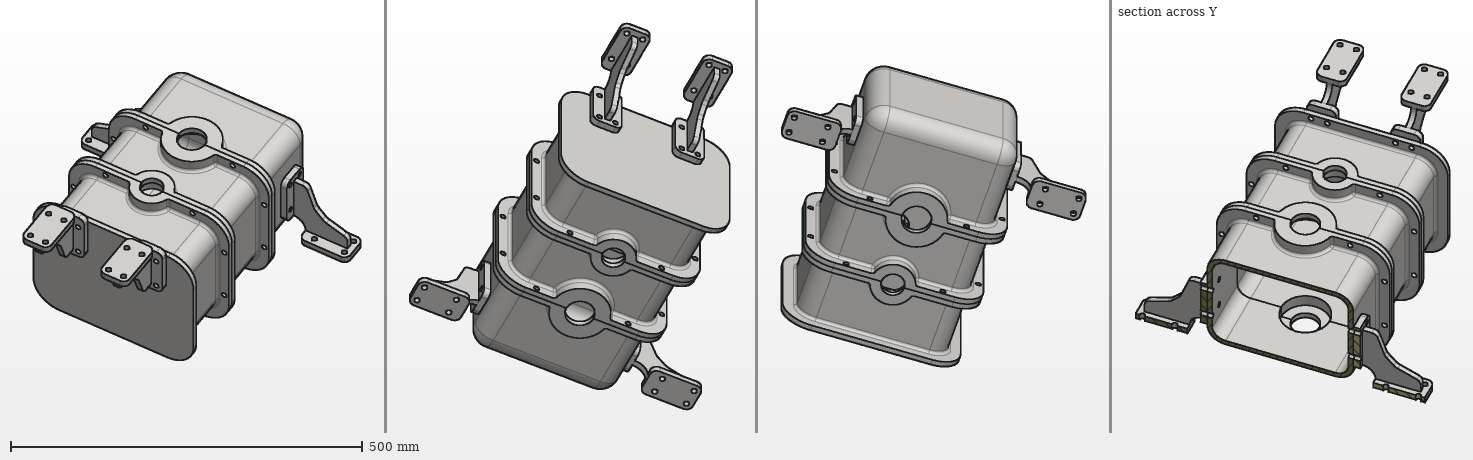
import cadquery as cq
import math


body_width = 226.0
body_height = 168.5
body_length = 354.0
body_radius = 28.5
wall = 8.5

flange_width = 266.5
flange_height = 208.0
flange_radius = 43.0
flange_thickness = 8.1
root_fillet = 4.5
bolt_diameter = 8.0
bolt_side_z = 43.5
bolt_top_x = 72.5
bolt_edge = 8.0

front_joint_y = 106.0
rear_joint_y = 215.8
front_boss_radius = 32.5
front_bore_diameter = 34.0
front_seat_diameter = 46.5
rear_boss_radius = 44.0
rear_bore_diameter = 42.5
rear_seat_diameter = 74.2
bore_lip = 9.5

plate_width = 45.5
plate_length = 80.0
plate_thickness = 10.0
plate_radius = 10.0
hole_edge = 10.0
hole_pitch = 50.0
rib_thickness = 9.0
rib_relief_radius = 20.0
rib_end_width = 21.0
rib_waist_near = 35.0
rib_waist_far = 50.5
rib_end_fillet = 9.7
rib_waist_fillet = 16.5
side_bracket_y = 296.0
front_bracket_x = 65.0
front_bracket_top = 146.0

hole_spread = plate_width - 2 * hole_edge
rib_reach = rib_relief_radius + plate_length - plate_thickness
plate_start = plate_thickness + rib_relief_radius
joints = [
    (front_joint_y, front_boss_radius, front_bore_diameter, front_seat_diameter),
    (rear_joint_y, rear_boss_radius, rear_bore_diameter, rear_seat_diameter),
]
selection_margin = 0.5


def rounded_block(width, height, radius, y_start, y_end):
    """Block along Y with its four long edges rounded."""
    length = y_end - y_start
    block = cq.Workplane("XY").box(width, length, height).edges("|Y").fillet(radius)
    return block.translate((0, (y_start + y_end) / 2, 0))


def vertical_cylinder(diameter, y, height):
    """Cylinder along Z, centred on Z = 0."""
    return cq.Workplane("XY").center(0, y).circle(diameter / 2).extrude(height / 2, both=True)


def round_roots(shell):
    """Fillet the inner corners where flanges and bosses rise from the shell."""
    half_x = body_width / 2 + selection_margin
    half_z = (body_height + flange_height) / 4 + selection_margin
    zones = [(flange_thickness, selection_margin)]
    zones += [(joint_y, boss_radius) for joint_y, boss_radius, _, _ in joints]
    roots = cq.Workplane("XY")
    for zone_y, reach in zones:
        zone = cq.selectors.BoxSelector(
            (-half_x, zone_y - reach, -half_z), (half_x, zone_y + reach, half_z)
        )
        roots = roots.add(shell.edges(zone))
    return shell.newObject(roots.vals()).fillet(root_fillet)


def housing_outside():
    """Outer form of all three housing sections joined together."""
    shell = rounded_block(body_width, body_height, body_radius, 0, body_length)
    shell = shell.faces(">Y").edges().fillet(body_radius)
    shell = shell.union(rounded_block(flange_width, flange_height, flange_radius, 0, flange_thickness))
    for joint_y, boss_radius, _, _ in joints:
        shell = shell.union(
            rounded_block(
                flange_width,
                flange_height,
                flange_radius,
                joint_y - flange_thickness,
                joint_y + flange_thickness,
            )
        )
        shell = shell.union(vertical_cylinder(2 * boss_radius, joint_y, flange_height))
    return round_roots(shell)


def housing_cavity():
    """Hollow inside of the housing, an even wall thickness in from the outside."""
    radius = body_radius - wall
    cavity = rounded_block(
        body_width - 2 * wall, body_height - 2 * wall, radius, flange_thickness, body_length - wall
    )
    return cavity.faces(">Y").edges().fillet(radius)


def flange_bolt_holes(joint_y):
    """Bolt holes along Y through the flange pair at one joint."""
    side_x = flange_width / 2 - bolt_edge
    top_z = flange_height / 2 - bolt_edge
    points = []
    for sx in (-1, 1):
        for sz in (-1, 1):
            points.append((sx * side_x, sz * bolt_side_z))
            points.append((sx * bolt_top_x, sz * top_z))
    holes = cq.Workplane("XZ", origin=(0, joint_y, 0)).pushPoints(points).circle(bolt_diameter / 2)
    return holes.extrude(2 * flange_thickness, both=True)


def plate_hole_points():
    """Hole centres of the foot plate, set toward its free end."""
    outer = plate_start + plate_length - hole_edge
    inner = outer - hole_pitch
    return [(along, side * hole_spread / 2) for along in (inner, outer) for side in (-1, 1)]


def foot_plate():
    """Drilled foot plate, lying flat with its underside on Z = 0."""
    plate = cq.Workplane("XY").box(plate_length, plate_width, plate_thickness, centered=(False, True, False))
    plate = plate.edges("|Z").fillet(plate_radius).translate((plate_start, 0, 0))
    holes = cq.Workplane("XY").pushPoints(plate_hole_points()).circle(bolt_diameter / 2)
    return plate.cut(holes.extrude(plate_thickness))


def bracket_rib():
    """Web between the two plates, symmetric about the diagonal of the bracket."""
    arc_middle = rib_relief_radius * math.sin(math.pi / 4)
    rib = (
        cq.Workplane("XZ", origin=(plate_thickness, 0, plate_thickness))
        .moveTo(0, rib_relief_radius)
        .threePointArc((arc_middle, arc_middle), (rib_relief_radius, 0))
        .lineTo(rib_reach, 0)
        .lineTo(rib_reach, rib_end_width)
        .lineTo(rib_waist_far, rib_waist_near)
        .lineTo(rib_waist_near, rib_waist_far)
        .lineTo(rib_end_width, rib_reach)
        .lineTo(0, rib_reach)
        .close()
        .extrude(rib_thickness / 2, both=True)
    )

    def corner_edges(near, far):
        """Pair of rib edges at one outline corner and its mirror across the diagonal."""
        picked = cq.Workplane("XY")
        for x, z in ((near, far), (far, near)):
            point = (x + plate_thickness, 0, z + plate_thickness)
            picked = picked.add(rib.edges("|Y").edges(cq.NearestToPointSelector(point)))
        return picked.vals()

    waist = corner_edges(rib_waist_near, rib_waist_far)
    ends = corner_edges(rib_end_width, rib_reach)
    rib = rib.newObject(waist).fillet(rib_waist_fillet)
    return rib.newObject(ends).fillet(rib_end_fillet)


def swap_diagonal(part):
    """Mirror a part across the plane X = Z."""
    return part.mirror("XY").rotate((0, 0, 0), (0, 1, 0), -90)


def mounting_bracket():
    """Bracket standing on Z = 0, with its mounting face on X = 0 and reaching toward +X."""
    foot = foot_plate()
    return foot.union(swap_diagonal(foot)).union(bracket_rib())


def mounting_holes():
    """Drills along X that continue the mounting plate holes through the housing wall."""
    holes = cq.Workplane("XY").pushPoints(plate_hole_points()).circle(bolt_diameter / 2)
    return swap_diagonal(holes.extrude(-2 * wall))


def place_on_side(part, side):
    """Move a bracket part to the -X or +X wall, with its foot level with the housing underside."""
    turn = 0 if side > 0 else 180
    turned = part.rotate((0, 0, 0), (0, 0, 1), turn)
    return turned.translate((side * body_width / 2, side_bracket_y, -body_height / 2))


def place_on_front(part, side):
    """Move a bracket part to the front plate, turned over so that its foot is on top."""
    turned = part.rotate((0, 0, 0), (1, 0, 0), 180).rotate((0, 0, 0), (0, 0, 1), -90)
    return turned.translate((side * front_bracket_x, 0, front_bracket_top))


def housing():
    """Finished housing before it is parted at the two joints."""
    shell = housing_outside().cut(housing_cavity())
    seat_height = flange_height - 2 * bore_lip
    for joint_y, _, bore_diameter, seat_diameter in joints:
        shell = shell.cut(vertical_cylinder(bore_diameter, joint_y, flange_height))
        shell = shell.cut(vertical_cylinder(seat_diameter, joint_y, seat_height))
        shell = shell.cut(flange_bolt_holes(joint_y))
    for side in (-1, 1):
        shell = shell.cut(place_on_side(mounting_holes(), side))
        shell = shell.cut(place_on_front(mounting_holes(), side))
    return shell


def housing_section(whole, y_start, y_end):
    """Slice of the housing between two Y positions."""
    slab = cq.Workplane("XY").box(flange_width, y_end - y_start, flange_height)
    return whole.intersect(slab.translate((0, (y_start + y_end) / 2, 0)))


whole_housing = housing()
front_housing = housing_section(whole_housing, 0, front_joint_y)
middle_housing = housing_section(whole_housing, front_joint_y, rear_joint_y)
rear_housing = housing_section(whole_housing, rear_joint_y, body_length)

bracket = mounting_bracket()
brackets = []
for side in (-1, 1):
    brackets.append(place_on_side(bracket, side))
    brackets.append(place_on_front(bracket, side))

result = cq.Compound.makeCompound(
    [front_housing.val(), middle_housing.val(), rear_housing.val()] + [item.val() for item in brackets]
)